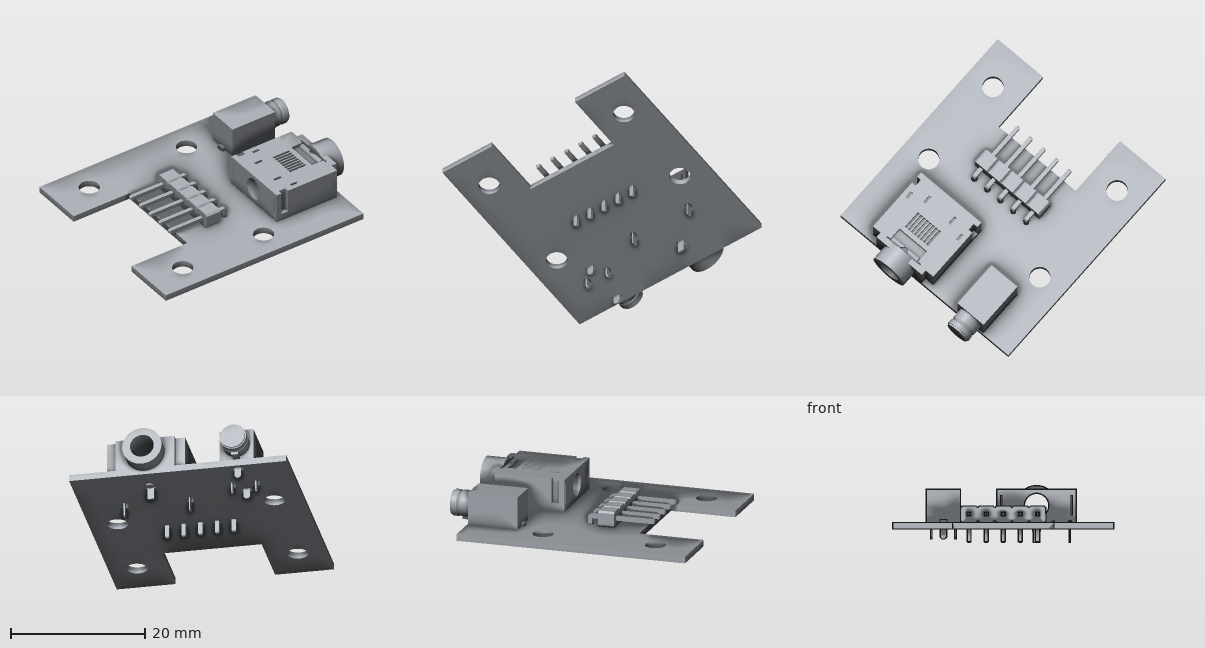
import cadquery as cq


BOARD_WIDTH = 33.0
BOARD_DEPTH = 35.9
BOARD_THICKNESS = 1.0
CUTOUT_WIDTH = 15.15
CUTOUT_DEPTH = 10.13
MOUNT_HOLE_DIAMETER = 3.2
MOUNT_HOLE_X = 12.22
MOUNT_HOLE_FRONT_Y = 6.05
MOUNT_HOLE_LEFT_REAR_Y = 23.7
MOUNT_HOLE_RIGHT_REAR_Y = 20.7
LEG_SLOT_LENGTH = 1.63
LEG_SLOT_WIDTH = 1.0

LEG_BOTTOM_Z = -3.0
LEG_WIDTH = 1.0
AXIS_Z = 2.52
CONNECTOR_HEIGHT = 4.95

PIN_COUNT = 5
HEADER_WIDTH = 12.73
PIN_PITCH = HEADER_WIDTH / PIN_COUNT
PIN_SIZE = 0.62
PIN_Z = 1.25
PIN_TIP_Y = 8.45
PIN_LEG_Y = 18.55
PIN_TIP_CHAMFER = 0.15
PIN_BEND_RADIUS = 0.45
PIN_HOLE_DIAMETER = 1.0
HEADER_FRONT_Y = 14.47
HEADER_DEPTH = 2.52
HEADER_HEIGHT = 2 * PIN_Z
HEADER_CHAMFER = 0.27
PIN_XS = [(i - (PIN_COUNT - 1) / 2) * PIN_PITCH for i in range(PIN_COUNT)]

JACK_X = -8.92
JACK_WIDTH = 5.12
JACK_FRONT_Y = 27.97
JACK_REAR_Y = 35.75
JACK_SLEEVE_DIAMETER = 4.05
JACK_LIP_DIAMETER = 3.72
JACK_TIP_Y = 38.8
JACK_LIP_LENGTH = 0.27
GROOVE_REAR_Y = 37.8
GROOVE_BOTTOM_Y = 37.6
GROOVE_FRONT_Y = 37.2
GROOVE_DEPTH = 0.15
JACK_LEG_THICKNESS = 0.27
JACK_LEG_BOTTOM_Z = -2.5
JACK_LEG_CHAMFER = 0.3
JACK_REAR_LEG_Y = 34.73
JACK_SIDE_LEG_Y = 29.8
JACK_SIDE_LEG_OFFSET = 1.82
JACK_FRONT_LEG_Y = JACK_FRONT_Y - JACK_LEG_THICKNESS / 2
JACK_FRONT_LEG_TOP_Z = 0.43
JACK_TONGUE_LENGTH = 1.55
JACK_TONGUE_BOTTOM_Z = 0.15
JACK_TONGUE_TOP_Z = 0.7

SOCKET_X = 4.95
SOCKET_WIDTH = 11.87
SOCKET_FRONT_Y = 24.0
SOCKET_REAR_Y = 35.0
NECK_WIDTH = 8.92
BARREL_DIAMETER = 5.98
BARREL_END_Y = 38.3
BORE_DIAMETER = 3.6
CORNER_NOTCH_WIDTH = 0.75
CORNER_NOTCH_FRONT_Y = 24.9
CORNER_NOTCH_LENGTH = 1.15
CORNER_NOTCH_FLOOR_Z = 1.15
WINDOW_WIDTH = 5.45
WINDOW_FRONT_Y = 32.67
WINDOW_FLOOR_Z = 4.42
SLIT_WIDTH = 6.6
SLIT_LENGTH = 0.27
ROLL_WIDTH = 5.0
ROLL_RADIUS = 0.5
ROLL_NOTCH_RADIUS = 0.75
GRATE_FRONT_Y = 29.0
GRATE_LENGTH = 2.95
GRATE_WIDTH = 4.55
GRATE_GROOVE_COUNT = 8
GRATE_RIB_WIDTH = 0.2
GRATE_DEPTH = 0.55
OUTER_SLOT_OFFSET = 4.95
OUTER_SLOT_FRONT_Y = 27.25
OUTER_SLOT_REAR_Y = 28.4
INNER_SLOT_OFFSET = 2.5
INNER_SLOT_FRONT_Y = 25.9
INNER_SLOT_REAR_Y = 27.25
TERMINAL_SLOT_WIDTH = 0.43
INNER_SLOT_DEPTH = 0.4
FACE_SLOT_OFFSET = 5.28
FACE_SLOT_WIDTH = 0.25
FACE_SLOT_BOTTOM_Z = 1.1
FACE_SLOT_TOP_Z = 4.05
FACE_SLOT_DEPTH = 0.4
FOOT_NOTCH_HEIGHT = 0.25
PEG_DIAMETER = 1.2
PEG_Y = 32.25
PEG_BOTTOM_Z = -1.25

CONTACT_THICKNESS = 0.2
SIDE_LEG_FRONT_Y = INNER_SLOT_FRONT_Y
SIDE_LEG_CHAMFER = 0.15
SIDE_BLADE_STEP_Z = 1.15
SIDE_BLADE_TOP_Z = 4.58
SLEEVE_LEG_Y = 31.45
SLEEVE_LEG_THICKNESS = 0.27
SLEEVE_LEG_TOP_Z = 0.45


def block(x_middle, width, y_front, y_rear, z_bottom, z_top):
    """A box centred on x_middle, given by its limits in Y and Z."""
    return (
        cq.Workplane("XY")
        .box(width, y_rear - y_front, z_top - z_bottom, centered=(True, False, False))
        .translate((x_middle, y_front, z_bottom))
    )


def rod_along_y(x, diameter, y_front, y_rear):
    """A cylinder on a plug axis."""
    return (
        cq.Workplane("XZ", origin=(x, y_rear, AXIS_Z))
        .circle(diameter / 2)
        .extrude(y_rear - y_front)
    )


def flat_leg(x, y, z_top, along_x):
    """A flat terminal leg of the small jack with its lower corners cut off."""
    leg = (
        cq.Workplane("XY")
        .box(LEG_WIDTH, JACK_LEG_THICKNESS, z_top - JACK_LEG_BOTTOM_Z, centered=(True, True, False))
        .faces("<Z")
        .edges("|Y")
        .chamfer(JACK_LEG_CHAMFER)
    )
    if not along_x:
        leg = leg.rotate((0, 0, 0), (0, 0, 1), 90)
    return leg.translate((x, y, JACK_LEG_BOTTOM_Z))


JACK_LEGS = [
    (JACK_X, JACK_REAR_LEG_Y, True),
    (JACK_X - JACK_SIDE_LEG_OFFSET, JACK_SIDE_LEG_Y, False),
    (JACK_X + JACK_SIDE_LEG_OFFSET, JACK_SIDE_LEG_Y, False),
]
JACK_FRONT_LEG = (JACK_X, JACK_FRONT_LEG_Y, True)
SOCKET_LEGS = [
    (SOCKET_X, SLEEVE_LEG_Y, True),
    (SOCKET_X - OUTER_SLOT_OFFSET, SIDE_LEG_FRONT_Y + LEG_WIDTH / 2, False),
    (SOCKET_X + OUTER_SLOT_OFFSET, SIDE_LEG_FRONT_Y + LEG_WIDTH / 2, False),
]


def make_board():
    board = block(0, BOARD_WIDTH, 0, BOARD_DEPTH, -BOARD_THICKNESS, 0)
    board = board.cut(block(0, CUTOUT_WIDTH, 0, CUTOUT_DEPTH, -BOARD_THICKNESS, 0))

    def drill(points, diameter):
        return (
            cq.Workplane("XY").pushPoints(points).circle(diameter / 2).extrude(-BOARD_THICKNESS)
        )

    mount_points = [
        (-MOUNT_HOLE_X, MOUNT_HOLE_FRONT_Y),
        (MOUNT_HOLE_X, MOUNT_HOLE_FRONT_Y),
        (-MOUNT_HOLE_X, MOUNT_HOLE_LEFT_REAR_Y),
        (MOUNT_HOLE_X, MOUNT_HOLE_RIGHT_REAR_Y),
    ]
    board = board.cut(drill(mount_points, MOUNT_HOLE_DIAMETER))
    board = board.cut(drill([(x, PIN_LEG_Y) for x in PIN_XS], PIN_HOLE_DIAMETER))
    board = board.cut(drill([(SOCKET_X, PEG_Y)], PEG_DIAMETER))

    for x, y, along_x in [*JACK_LEGS, JACK_FRONT_LEG, *SOCKET_LEGS]:
        slot = (
            cq.Workplane("XY", origin=(x, y, 0))
            .slot2D(LEG_SLOT_LENGTH, LEG_SLOT_WIDTH, 0 if along_x else 90)
            .extrude(-BOARD_THICKNESS)
        )
        board = board.cut(slot)
    return board


def make_header_pin(x):
    """One square pin: level towards -Y, bent down through the board at its rear."""
    half = PIN_SIZE / 2
    rear_y = PIN_LEG_Y + half
    level = block(x, PIN_SIZE, PIN_TIP_Y, rear_y, PIN_Z - half, PIN_Z + half)
    level = level.faces("<Y").chamfer(PIN_TIP_CHAMFER)
    leg = block(x, PIN_SIZE, PIN_LEG_Y - half, rear_y, LEG_BOTTOM_Z, PIN_Z + half)
    leg = leg.faces("<Z").chamfer(PIN_TIP_CHAMFER)
    pin = level.union(leg)
    return pin.edges(">Y and >Z").fillet(PIN_BEND_RADIUS)


def make_header():
    """Five chamfered insulator segments in a row, with their pins."""
    segments = cq.Workplane("XY")
    for x in PIN_XS:
        segment = block(x, PIN_PITCH, HEADER_FRONT_Y, HEADER_FRONT_Y + HEADER_DEPTH, 0, HEADER_HEIGHT)
        segments = segments.union(segment.edges("|Y").chamfer(HEADER_CHAMFER))
    for x in PIN_XS:
        segments = segments.union(make_header_pin(x))
    return segments


def make_small_jack():
    """Box with a round, grooved sleeve and four flat legs."""
    jack = block(JACK_X, JACK_WIDTH, JACK_FRONT_Y, JACK_REAR_Y, 0, CONNECTOR_HEIGHT)

    radius = JACK_SLEEVE_DIAMETER / 2
    lip_radius = JACK_LIP_DIAMETER / 2
    lip_y = JACK_TIP_Y - JACK_LIP_LENGTH
    sleeve = (
        cq.Workplane("XY")
        .moveTo(0, JACK_REAR_Y)
        .lineTo(radius, JACK_REAR_Y)
        .lineTo(radius, GROOVE_FRONT_Y)
        .lineTo(radius - GROOVE_DEPTH, GROOVE_BOTTOM_Y)
        .lineTo(radius, GROOVE_REAR_Y)
        .lineTo(radius, lip_y)
        .lineTo(lip_radius, lip_y)
        .lineTo(lip_radius, JACK_TIP_Y)
        .lineTo(0, JACK_TIP_Y)
        .close()
        .revolve(360, (0, 0, 0), (0, 1, 0))
        .translate((JACK_X, 0, AXIS_Z))
    )
    tongue = block(
        JACK_X, LEG_WIDTH, JACK_REAR_Y, JACK_REAR_Y + JACK_TONGUE_LENGTH,
        JACK_TONGUE_BOTTOM_Z, JACK_TONGUE_TOP_Z,
    )
    jack = jack.union(sleeve).union(tongue)

    for x, y, along_x in JACK_LEGS:
        jack = jack.union(flat_leg(x, y, 0, along_x))
    x, y, along_x = JACK_FRONT_LEG
    return jack.union(flat_leg(x, y, JACK_FRONT_LEG_TOP_Z, along_x))


def make_side_contact(x):
    """Flat contact: a leg through the board, stepping back to a blade inside the socket."""
    return (
        cq.Workplane("YZ", origin=(x, 0, 0))
        .moveTo(SIDE_LEG_FRONT_Y, LEG_BOTTOM_Z)
        .lineTo(SIDE_LEG_FRONT_Y + LEG_WIDTH, LEG_BOTTOM_Z)
        .lineTo(SIDE_LEG_FRONT_Y + LEG_WIDTH, 0)
        .lineTo(OUTER_SLOT_REAR_Y, 0)
        .lineTo(OUTER_SLOT_REAR_Y, SIDE_BLADE_TOP_Z)
        .lineTo(OUTER_SLOT_FRONT_Y, SIDE_BLADE_TOP_Z)
        .lineTo(OUTER_SLOT_FRONT_Y, SIDE_BLADE_STEP_Z)
        .lineTo(SIDE_LEG_FRONT_Y, SIDE_BLADE_STEP_Z)
        .close()
        .extrude(CONTACT_THICKNESS / 2, both=True)
        .faces("<Z")
        .edges("|X")
        .chamfer(SIDE_LEG_CHAMFER)
    )


def make_sleeve_contact():
    half = SLEEVE_LEG_THICKNESS / 2
    return block(
        SOCKET_X, LEG_WIDTH, SLEEVE_LEG_Y - half, SLEEVE_LEG_Y + half, LEG_BOTTOM_Z, SLEEVE_LEG_TOP_Z
    )


def cut_window(socket):
    """Window behind the barrel, with the slit and the notched half-round roll."""
    top = CONNECTOR_HEIGHT
    slit_front_y = SOCKET_REAR_Y - SLIT_LENGTH
    socket = socket.cut(
        block(SOCKET_X, WINDOW_WIDTH, WINDOW_FRONT_Y, SOCKET_REAR_Y, WINDOW_FLOOR_Z, top)
    )
    socket = socket.cut(block(SOCKET_X, SLIT_WIDTH, slit_front_y, SOCKET_REAR_Y, WINDOW_FLOOR_Z, top))
    roll_y = SOCKET_REAR_Y - ROLL_RADIUS
    roll = (
        cq.Workplane("YZ", origin=(SOCKET_X, roll_y, WINDOW_FLOOR_Z))
        .moveTo(-ROLL_RADIUS, 0)
        .threePointArc((0, ROLL_RADIUS), (ROLL_RADIUS, 0))
        .close()
        .extrude(ROLL_WIDTH / 2, both=True)
    )
    roll_notch = (
        cq.Workplane("XY", origin=(SOCKET_X, SOCKET_REAR_Y, WINDOW_FLOOR_Z))
        .circle(ROLL_NOTCH_RADIUS)
        .extrude(ROLL_RADIUS)
    )
    return socket.union(roll.cut(roll_notch))


def cut_grate(socket):
    """Recess in the top, divided into equal grooves by thin ribs."""
    groove_width = (GRATE_WIDTH - (GRATE_GROOVE_COUNT - 1) * GRATE_RIB_WIDTH) / GRATE_GROOVE_COUNT
    for i in range(GRATE_GROOVE_COUNT):
        x = SOCKET_X + (i - (GRATE_GROOVE_COUNT - 1) / 2) * (groove_width + GRATE_RIB_WIDTH)
        groove = block(
            x, groove_width, GRATE_FRONT_Y, GRATE_FRONT_Y + GRATE_LENGTH,
            CONNECTOR_HEIGHT - GRATE_DEPTH, CONNECTOR_HEIGHT,
        )
        socket = socket.cut(groove)
    return socket


def cut_side_details(socket, side):
    """Notches and slots that repeat on both sides of the plug axis; side is -1 or 1."""
    top = CONNECTOR_HEIGHT
    outer_x = SOCKET_X + side * OUTER_SLOT_OFFSET
    inner_x = SOCKET_X + side * INNER_SLOT_OFFSET
    cuts = [
        block(
            SOCKET_X + side * (SOCKET_WIDTH - CORNER_NOTCH_WIDTH) / 2, CORNER_NOTCH_WIDTH,
            CORNER_NOTCH_FRONT_Y, CORNER_NOTCH_FRONT_Y + CORNER_NOTCH_LENGTH, CORNER_NOTCH_FLOOR_Z, top,
        ),
        block(
            outer_x, TERMINAL_SLOT_WIDTH, OUTER_SLOT_FRONT_Y, OUTER_SLOT_REAR_Y,
            SIDE_BLADE_TOP_Z, top,
        ),
        block(
            inner_x, TERMINAL_SLOT_WIDTH, INNER_SLOT_FRONT_Y, INNER_SLOT_REAR_Y,
            top - INNER_SLOT_DEPTH, top,
        ),
        block(
            SOCKET_X + side * FACE_SLOT_OFFSET, FACE_SLOT_WIDTH,
            SOCKET_FRONT_Y, SOCKET_FRONT_Y + FACE_SLOT_DEPTH, FACE_SLOT_BOTTOM_Z, FACE_SLOT_TOP_Z,
        ),
    ]
    for x in (outer_x, inner_x):
        cuts.append(
            block(x, TERMINAL_SLOT_WIDTH, SOCKET_FRONT_Y, SIDE_LEG_FRONT_Y, 0, FOOT_NOTCH_HEIGHT)
        )
    for cut in cuts:
        socket = socket.cut(cut)
    return socket


def make_socket(contacts):
    """Moulded socket with its barrel and locating peg, recessed for the contacts."""
    socket = block(SOCKET_X, SOCKET_WIDTH, SOCKET_FRONT_Y, SOCKET_REAR_Y, 0, CONNECTOR_HEIGHT)
    socket = socket.union(block(SOCKET_X, NECK_WIDTH, SOCKET_REAR_Y, BOARD_DEPTH, 0, CONNECTOR_HEIGHT))
    socket = cut_window(socket)
    socket = cut_grate(socket)
    for side in (-1, 1):
        socket = cut_side_details(socket, side)

    barrel = rod_along_y(SOCKET_X, BARREL_DIAMETER, SOCKET_REAR_Y, BARREL_END_Y)
    below_board_top = block(
        SOCKET_X, BARREL_DIAMETER, SOCKET_REAR_Y, BOARD_DEPTH, AXIS_Z - BARREL_DIAMETER / 2, 0
    )
    socket = socket.union(barrel.cut(below_board_top))
    peg = (
        cq.Workplane("XY", origin=(SOCKET_X, PEG_Y, PEG_BOTTOM_Z))
        .circle(PEG_DIAMETER / 2)
        .extrude(-PEG_BOTTOM_Z)
    )
    socket = socket.union(peg)
    socket = socket.cut(rod_along_y(SOCKET_X, BORE_DIAMETER, SOCKET_FRONT_Y, BARREL_END_Y))
    for contact in contacts:
        socket = socket.cut(contact)
    return socket


board = make_board()
header = make_header()
small_jack = make_small_jack()
side_contacts = [make_side_contact(SOCKET_X + side * OUTER_SLOT_OFFSET) for side in (-1, 1)]
sleeve_contact = make_sleeve_contact()
socket = make_socket([*side_contacts, sleeve_contact])

result = cq.Compound.makeCompound([
    board.val(),
    header.val(),
    small_jack.val(),
    socket.val(),
    sleeve_contact.val(),
    *[contact.val() for contact in side_contacts],
])